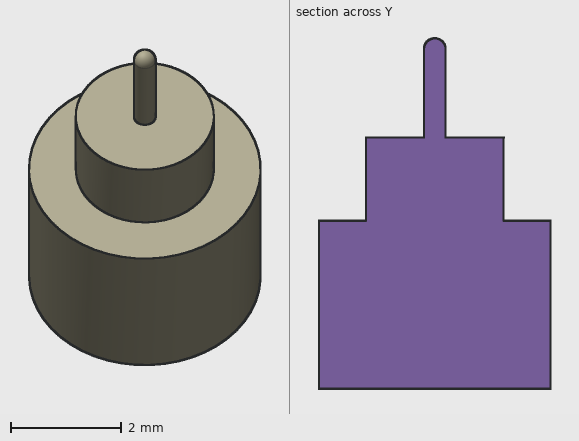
import cadquery as cq

total_height = 6.35

body_diameter = 4.2
body_height = 3.05
collar_diameter = 2.5
collar_height = 1.505

pin_diameter = 0.4
dome_height = 0.185
pin_radius = pin_diameter / 2
pin_base = body_height + collar_height
dome_base = total_height - dome_height

dome_radius = (pin_radius**2 + dome_height**2) / (2 * dome_height)


def make_body():
    """Wide cylinder with a narrower collar on top."""
    body = cq.Workplane("XY").circle(body_diameter / 2).extrude(body_height)
    return body.faces(">Z").workplane().circle(collar_diameter / 2).extrude(collar_height)


def make_pin():
    """Slim pin rising from the collar, revolved from half its section."""
    dome_center_height = total_height - dome_radius
    arc_middle_x = pin_radius / 2
    arc_middle_z = dome_center_height + (dome_radius**2 - arc_middle_x**2) ** 0.5
    half_section = (
        cq.Workplane("XZ")
        .moveTo(0, pin_base)
        .lineTo(pin_radius, pin_base)
        .lineTo(pin_radius, dome_base)
        .threePointArc((arc_middle_x, arc_middle_z), (0, total_height))
        .close()
    )
    return half_section.revolve(360, (0, 0, 0), (0, 1, 0))


result = make_body().union(make_pin())